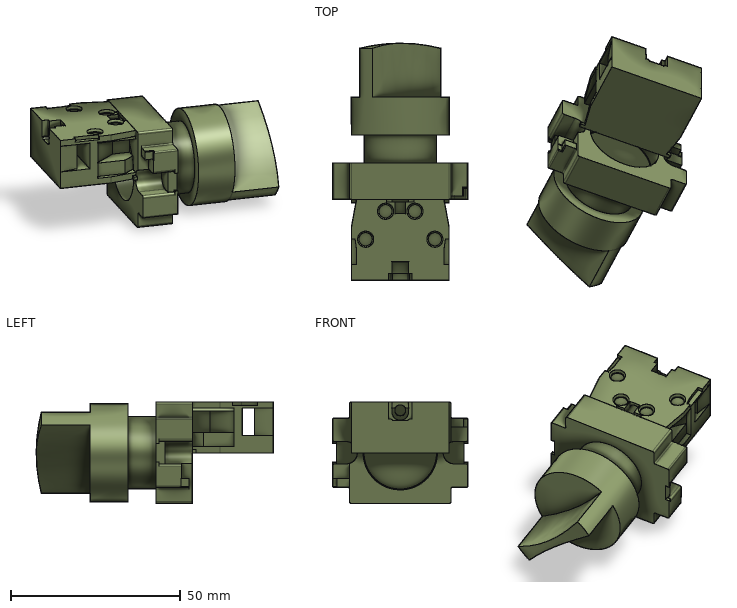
import cadquery as cq
import math


COLLAR_LENGTH = 10.8
NECK_LENGTH = 8.2
BEZEL_LENGTH = 11.3
GRIP_SIDE_LENGTH = 14.35
GRIP_CROWN_RISE = 1.55
BEZEL_START = COLLAR_LENGTH + NECK_LENGTH
BEZEL_END = BEZEL_START + BEZEL_LENGTH
GRIP_SHOULDER = BEZEL_END + GRIP_SIDE_LENGTH
GRIP_TOP = GRIP_SHOULDER + GRIP_CROWN_RISE

BEZEL_RADIUS = 14.5
NECK_RADIUS = 10.7
NECK_END = 5.6
GRIP_END_WIDTH = 5.45
GRIP_WAIST_WIDTH = 2.5
GRIP_ANGLE = 45

COLLAR_SIZE = 30.0
COLLAR_EDGE_RADIUS = 0.6
BORE_RADIUS = 11.0
EAR_SPAN = 40.0
EAR_TOP = 10.2
EAR_RADIUS = 0.4
EAR_SLOT_EDGE_RADIUS = 0.7
SLOT_HALF_HEIGHT = 3.3
SLOT_CENTER_X = 15.95
SLOT_DEPTH = 8.05
SLOT_WALL_X = 18.9
LIP_HALF_HEIGHT = 2.8
LIP_THICKNESS = 0.9
LATCH_SETBACK = 3.2
OUTER_SETBACK = 3.4
LATCH_TOP = 7.6
TAB_START = 1.05
TAB_OUTER_X = 18.7
TOP_BEVEL_HEIGHT = 0.2
TAB_BEVEL = 0.35
EAR_FACE_BEVEL = 0.3

BLOCK_LENGTH = 23.9
BLOCK_WIDTH = 28.9
BLOCK_HEIGHT = 15.1
BLOCK_TOP = COLLAR_SIZE / 2
BLOCK_BOTTOM = BLOCK_TOP - BLOCK_HEIGHT
BLOCK_NARROW_HALF = 12.95
TAPER_LENGTH = 8.2
FOOT_LENGTH = 1.05
FOOT_HEIGHT = 1.05

TEST_HOLE_PLACES = [(4.35, 3.5), (10.2, 11.75)]
TEST_HOLE_RADIUS = 1.95
TEST_HOLE_RIM_RADIUS = 2.4
TEST_HOLE_CONE_DEPTH = 0.8
TEST_HOLE_DEPTH = 1.05

FINGER_NOTCH_START = 11.75
FINGER_NOTCH_FULL = 14.5
FINGER_NOTCH_END = 19.2
FINGER_NOTCH_START_INSET = 1.1
FINGER_NOTCH_DEPTH = 1.05

WINDOW_TOP = 13.15
TERMINAL_WINDOW_BOTTOM = 1.8
TERMINAL_WINDOW_END = 12.25
TERMINAL_SPLIT = 6.0
TERMINAL_TOP = 12.3
LOWER_TERMINAL_START = 3.3
LOWER_TERMINAL_INNER_X = 10.1
UPPER_TERMINAL_START = 5.25
UPPER_TERMINAL_INNER_X = 6.85
HEADER_LEAN = 0.3

PASSAGE_BOTTOM = 5.1
PASSAGE_START = 14.8
PASSAGE_END = 18.3
PASSAGE_FLARE_END = 23.8
PASSAGE_FLARE = 1.25

SCREW_AXIS_Z = 12.5
SCREW_RADIUS = 1.6
WELL_RADIUS = 2.45
WELL_AXIS_Z = 12.05
WELL_END = 18.5
WIRE_NOTCH_END = 21.9
WIRE_NOTCH_HALF = 3.5
WIRE_NOTCH_FLOOR = 10.0
WIRE_TROUGH_FLOOR = 9.5
WIRE_TROUGH_TOP_HALF = 2.65
WIRE_TROUGH_FLOOR_HALF = 2.25
LEDGE_HALF = 4.1
LEDGE_LENGTH = 0.8
LEDGE_DEPTH = 0.85
SCREW_GROOVE_END = 4.2


def box(x_range, y_range, z_range):
    """Box between two X, two Y and two Z positions."""
    sizes = [end - start for start, end in (x_range, y_range, z_range)]
    corner = (x_range[0], y_range[0], z_range[0])
    return cq.Workplane("XY").box(*sizes, centered=False).translate(corner)


def cylinder(radius, y_range, z=0.0):
    """Cylinder parallel to Y, with its axis in the plane X = 0."""
    start, end = y_range
    return cq.Workplane("XZ", origin=(0, start, z)).circle(radius).extrude(start - end)


def plan_prism(points, z_range):
    """Prism with an XY outline."""
    start, end = z_range
    return cq.Workplane("XY", origin=(0, 0, start)).polyline(points).close().extrude(end - start)


def open_groove(radius, axis_z, y_range, top):
    """Groove along Y with a round bottom, open upward to the given height."""
    return cylinder(radius, y_range, axis_z).union(box((-radius, radius), y_range, (axis_z, top)))


def corner_loop(x_range, y_range):
    """Corners of an XY rectangle, in order around it."""
    (x_start, x_end), (y_start, y_end) = x_range, y_range
    return [(x_start, y_start), (x_end, y_start), (x_end, y_end), (x_start, y_end)]


def both_sides(shape):
    """The shape and its mirror image across X = 0."""
    return shape.union(shape.mirror("YZ"))


def make_grip():
    """Waisted bar across the bezel, with a crowned top and ends flush with the bezel."""
    end_x = math.sqrt(BEZEL_RADIUS**2 - (GRIP_END_WIDTH / 2) ** 2)
    half_end = GRIP_END_WIDTH / 2
    half_waist = GRIP_WAIST_WIDTH / 2
    bar = (
        cq.Workplane("XZ", origin=(0, BEZEL_START, 0))
        .moveTo(-end_x, -half_end)
        .threePointArc((0, -half_waist), (end_x, -half_end))
        .threePointArc((BEZEL_RADIUS, 0), (end_x, half_end))
        .threePointArc((0, half_waist), (-end_x, half_end))
        .threePointArc((-BEZEL_RADIUS, 0), (-end_x, -half_end))
        .close()
        .extrude(BEZEL_START - GRIP_TOP)
    )
    crown = (
        cq.Workplane("XY")
        .moveTo(-BEZEL_RADIUS, BEZEL_START)
        .lineTo(BEZEL_RADIUS, BEZEL_START)
        .lineTo(BEZEL_RADIUS, GRIP_SHOULDER)
        .threePointArc((0, GRIP_TOP), (-BEZEL_RADIUS, GRIP_SHOULDER))
        .close()
        .extrude(GRIP_END_WIDTH, both=True)
    )
    return bar.intersect(crown).rotate((0, 0, 0), (0, 1, 0), GRIP_ANGLE)


def make_operator():
    neck = cylinder(NECK_RADIUS, (NECK_END, BEZEL_START))
    bezel = cylinder(BEZEL_RADIUS, (BEZEL_START, BEZEL_END))
    return neck.union(bezel).union(make_grip())


def ear_bar():
    """Bar across the collar whose two ends are the ears, with rounded outer edges."""
    half_span = EAR_SPAN / 2
    bar = box((-half_span, half_span), (0, COLLAR_LENGTH), (-EAR_TOP, EAR_TOP))
    return bar.edges("|Y").fillet(EAR_RADIUS)


def ear_slot():
    """Slot into the +X side, round at its inner end and rounding over at the ears' outer faces."""
    half_span = EAR_SPAN / 2
    inner_tip = SLOT_CENTER_X - SLOT_HALF_HEIGHT
    lip_start = COLLAR_LENGTH - LIP_THICKNESS
    flare_x = half_span - EAR_SLOT_EDGE_RADIUS
    flare_z = SLOT_HALF_HEIGHT + EAR_SLOT_EDGE_RADIUS
    on_arc = EAR_SLOT_EDGE_RADIUS * math.sqrt(0.5)
    slot = (
        cq.Workplane("XZ")
        .moveTo(SLOT_CENTER_X, -SLOT_HALF_HEIGHT)
        .lineTo(flare_x, -SLOT_HALF_HEIGHT)
        .threePointArc((flare_x + on_arc, -flare_z + on_arc), (half_span, -flare_z))
        .lineTo(half_span, flare_z)
        .threePointArc((flare_x + on_arc, flare_z - on_arc), (flare_x, SLOT_HALF_HEIGHT))
        .lineTo(SLOT_CENTER_X, SLOT_HALF_HEIGHT)
        .threePointArc((inner_tip, 0), (SLOT_CENTER_X, -SLOT_HALF_HEIGHT))
        .close()
        .extrude(-lip_start)
    )
    slot_wall = box((0, SLOT_WALL_X), (SLOT_DEPTH, COLLAR_LENGTH), (-flare_z, flare_z))
    lip_gap = box(
        (SLOT_WALL_X, half_span), (lip_start, COLLAR_LENGTH), (-LIP_HALF_HEIGHT, LIP_HALF_HEIGHT)
    )
    return slot.cut(slot_wall).union(lip_gap)


def outer_latch_space():
    """Space beyond the tab's outer end, set deeper into the ear and beveled out at its open top."""
    half_span = EAR_SPAN / 2
    bevel_start = EAR_TOP - TOP_BEVEL_HEIGHT
    mouth_x = (TAB_OUTER_X - TAB_BEVEL, half_span)
    mouth_y = (0, OUTER_SETBACK + EAR_FACE_BEVEL)
    space = box((TAB_OUTER_X, half_span), (0, OUTER_SETBACK), (LATCH_TOP, bevel_start))
    bevel = (
        cq.Workplane("XY", origin=(0, 0, bevel_start))
        .polyline(corner_loop((TAB_OUTER_X, half_span), (0, OUTER_SETBACK)))
        .close()
        .workplane(offset=TOP_BEVEL_HEIGHT)
        .polyline(corner_loop(mouth_x, mouth_y))
        .close()
        .loft(ruled=True)
    )
    return space.union(bevel)


def latch_cut():
    """Material removed from the upper +X ear, leaving its face set back behind a small tab."""
    side_x = COLLAR_SIZE / 2
    half_span = EAR_SPAN / 2
    ear_z = (0, EAR_TOP + EAR_RADIUS)
    in_front_of_tab = box((side_x, half_span), (0, TAB_START), ear_z)
    below_tab = box((side_x, half_span), (0, LATCH_SETBACK), (0, LATCH_TOP))
    return in_front_of_tab.union(below_tab).union(outer_latch_space())


def ear_root_blends():
    """Concave blends where the tops and bottoms of the ears meet the collar's sides."""
    side_x = COLLAR_SIZE / 2
    blend = (
        cq.Workplane("XZ")
        .moveTo(side_x, EAR_TOP)
        .lineTo(side_x + EAR_RADIUS, EAR_TOP)
        .radiusArc((side_x, EAR_TOP + EAR_RADIUS), EAR_RADIUS)
        .close()
        .extrude(-COLLAR_LENGTH)
    )
    right_blends = blend.union(blend.mirror("XY"))
    return both_sides(right_blends)


def make_collar():
    body = cq.Workplane("XZ").rect(COLLAR_SIZE, COLLAR_SIZE).extrude(-COLLAR_LENGTH)
    collar = body.edges("|Y").fillet(COLLAR_EDGE_RADIUS).union(ear_bar()).union(ear_root_blends())
    for turn in (0, 180):
        for side_cut in (ear_slot(), latch_cut()):
            collar = collar.cut(side_cut.rotate((0, 0, 0), (0, 1, 0), turn))
    collar = collar.cut(cylinder(BORE_RADIUS, (0, NECK_END)))
    return collar.cut(cylinder(NECK_RADIUS, (NECK_END, COLLAR_LENGTH)))


def block_body():
    """Block narrowing toward the collar, with a small square foot on each lower corner."""
    half = BLOCK_WIDTH / 2
    outline = [
        (-half, -BLOCK_LENGTH),
        (half, -BLOCK_LENGTH),
        (half, -TAPER_LENGTH),
        (BLOCK_NARROW_HALF, 0),
        (-BLOCK_NARROW_HALF, 0),
        (-half, -TAPER_LENGTH),
    ]
    feet = box((-half, half), (-FOOT_LENGTH, 0), (BLOCK_BOTTOM, BLOCK_BOTTOM + FOOT_HEIGHT))
    return plan_prism(outline, (BLOCK_BOTTOM, BLOCK_TOP)).union(feet)


def test_holes():
    """Four shallow round recesses in the top, each with a conical rim."""
    places = [(side * x, -y) for x, y in TEST_HOLE_PLACES for side in (-1, 1)]
    section = [
        (0, 0),
        (TEST_HOLE_RIM_RADIUS, 0),
        (TEST_HOLE_RADIUS, -TEST_HOLE_CONE_DEPTH),
        (TEST_HOLE_RADIUS, -TEST_HOLE_DEPTH),
        (0, -TEST_HOLE_DEPTH),
    ]
    hole = cq.Workplane("XZ").polyline(section).close().revolve(360, (0, 0), (0, 1)).val()
    centers = cq.Workplane("XY", origin=(0, 0, BLOCK_TOP)).pushPoints(places)
    return centers.eachpoint(lambda place: hole.moved(place), combine=True)


def finger_notches():
    """Shallow finger notches along the top side edges."""
    half = BLOCK_WIDTH / 2
    outline = [
        (half, -FINGER_NOTCH_START),
        (half - FINGER_NOTCH_START_INSET, -FINGER_NOTCH_START),
        (BLOCK_NARROW_HALF, -FINGER_NOTCH_FULL),
        (BLOCK_NARROW_HALF, -FINGER_NOTCH_END),
        (half, -FINGER_NOTCH_END),
    ]
    return both_sides(plan_prism(outline, (BLOCK_TOP - FINGER_NOTCH_DEPTH, BLOCK_TOP)))


def terminal_windows():
    """Side openings by the collar, with two terminals under a leaning header in each."""
    half = BLOCK_WIDTH / 2
    lower = [
        (half, 0),
        (LOWER_TERMINAL_INNER_X, 0),
        (BLOCK_NARROW_HALF, -LOWER_TERMINAL_START),
        (BLOCK_NARROW_HALF, -TERMINAL_WINDOW_END),
        (half, -TERMINAL_WINDOW_END),
    ]
    upper = [
        (half, 0),
        (UPPER_TERMINAL_INNER_X, 0),
        (UPPER_TERMINAL_INNER_X, -UPPER_TERMINAL_START),
        (BLOCK_NARROW_HALF, -TERMINAL_WINDOW_END),
        (half, -TERMINAL_WINDOW_END),
    ]
    header = [
        (half, TERMINAL_TOP),
        (BLOCK_NARROW_HALF, TERMINAL_TOP),
        (BLOCK_NARROW_HALF - HEADER_LEAN, WINDOW_TOP),
        (half, WINDOW_TOP),
    ]
    header_relief = cq.Workplane("XZ").polyline(header).close().extrude(TERMINAL_WINDOW_END)
    window = (
        plan_prism(lower, (TERMINAL_WINDOW_BOTTOM, TERMINAL_SPLIT))
        .union(plan_prism(upper, (TERMINAL_SPLIT, TERMINAL_TOP)))
        .union(header_relief)
    )
    return both_sides(window)


def cross_passage():
    """Passage through the block along X, flaring toward the rear at both mouths."""
    half = BLOCK_WIDTH / 2
    throat = half - PASSAGE_FLARE
    outline = [
        (-half, -PASSAGE_START),
        (half, -PASSAGE_START),
        (half, -PASSAGE_FLARE_END),
        (throat, -PASSAGE_END),
        (-throat, -PASSAGE_END),
        (-half, -PASSAGE_FLARE_END),
    ]
    return plan_prism(outline, (PASSAGE_BOTTOM, WINDOW_TOP))


def screw_well():
    """Round-bottomed well from the rear face into the passage, with a wire notch and a screw hole."""
    well = open_groove(WELL_RADIUS, WELL_AXIS_Z, (-BLOCK_LENGTH, -WELL_END), BLOCK_TOP)
    opening_y = (-WELL_END, -PASSAGE_END)
    below_passage_roof = box((-WELL_RADIUS, WELL_RADIUS), opening_y, (BLOCK_BOTTOM, WINDOW_TOP))
    well_profile = open_groove(WELL_RADIUS, WELL_AXIS_Z, opening_y, BLOCK_TOP)
    passage_opening = well_profile.intersect(below_passage_roof)
    screw_hole = cylinder(SCREW_RADIUS, (-WELL_END, -SCREW_GROOVE_END), SCREW_AXIS_Z)
    notch_outline = [
        (-WIRE_NOTCH_HALF, BLOCK_TOP),
        (-WIRE_NOTCH_HALF, WIRE_NOTCH_FLOOR),
        (-WIRE_TROUGH_TOP_HALF, WIRE_NOTCH_FLOOR),
        (-WIRE_TROUGH_FLOOR_HALF, WIRE_TROUGH_FLOOR),
        (WIRE_TROUGH_FLOOR_HALF, WIRE_TROUGH_FLOOR),
        (WIRE_TROUGH_TOP_HALF, WIRE_NOTCH_FLOOR),
        (WIRE_NOTCH_HALF, WIRE_NOTCH_FLOOR),
        (WIRE_NOTCH_HALF, BLOCK_TOP),
    ]
    wire_notch = (
        cq.Workplane("XZ", origin=(0, -WIRE_NOTCH_END, 0))
        .polyline(notch_outline)
        .close()
        .extrude(BLOCK_LENGTH - WIRE_NOTCH_END)
    )
    return well.union(passage_opening).union(screw_hole).union(wire_notch)


def collar_side_recess():
    """Stepped recess in the top edge against the collar."""
    ledge = box((-LEDGE_HALF, LEDGE_HALF), (-LEDGE_LENGTH, 0), (BLOCK_TOP - LEDGE_DEPTH, BLOCK_TOP))
    wide_groove = open_groove(WELL_RADIUS, SCREW_AXIS_Z, (-LEDGE_LENGTH, 0), BLOCK_TOP)
    screw_groove = open_groove(SCREW_RADIUS, SCREW_AXIS_Z, (-SCREW_GROOVE_END, 0), BLOCK_TOP)
    return ledge.union(wide_groove).union(screw_groove)


def make_contact_block():
    block = block_body().cut(test_holes()).cut(finger_notches()).cut(terminal_windows())
    return block.cut(cross_passage()).cut(screw_well()).cut(collar_side_recess())


operator = make_operator()
collar = make_collar()
contact_block = make_contact_block()

result = cq.Compound.makeCompound([operator.val(), collar.val(), contact_block.val()])